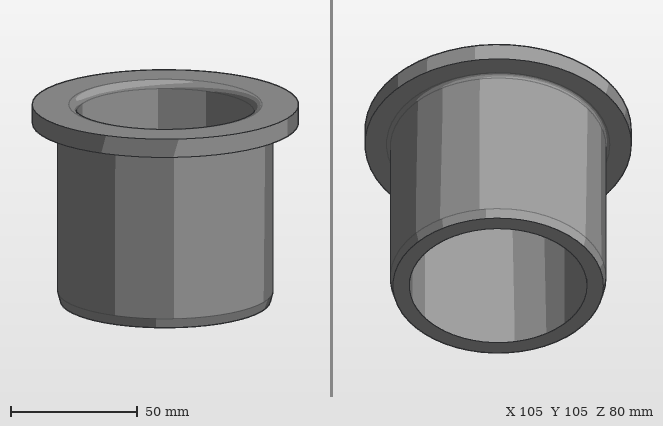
import cadquery as cq
import math

total_height = 80.0
flange_diameter = 105.0
flange_thickness = 7.5
body_diameter = 85.0
bore_diameter = 70.0

neck_fillet_radius = 1.5
bore_mouth_radius = 3.0
lead_in_height = 4.0
lead_in_angle = 15.0

flange_radius = flange_diameter / 2
body_radius = body_diameter / 2
bore_radius = bore_diameter / 2
flange_bottom = total_height - flange_thickness
lead_in_inset = lead_in_height * math.tan(math.radians(lead_in_angle))


def ring_profile():
    """Half section in the XZ plane, without the rounded edges."""
    return (
        cq.Workplane("XZ")
        .moveTo(bore_radius, 0)
        .lineTo(body_radius - lead_in_inset, 0)
        .lineTo(body_radius, lead_in_height)
        .lineTo(body_radius, flange_bottom)
        .lineTo(flange_radius, flange_bottom)
        .lineTo(flange_radius, total_height)
        .lineTo(bore_radius, total_height)
        .close()
    )


bushing = ring_profile().revolve(360, (0, 0, 0), (0, 1, 0))

smallest_circle = cq.selectors.RadiusNthSelector(0)
bushing = bushing.faces(">Z").edges(smallest_circle).fillet(bore_mouth_radius)

bushing = (
    bushing.faces("|Z")
    .faces("<Z[1]")
    .edges(smallest_circle)
    .fillet(neck_fillet_radius)
)

result = bushing